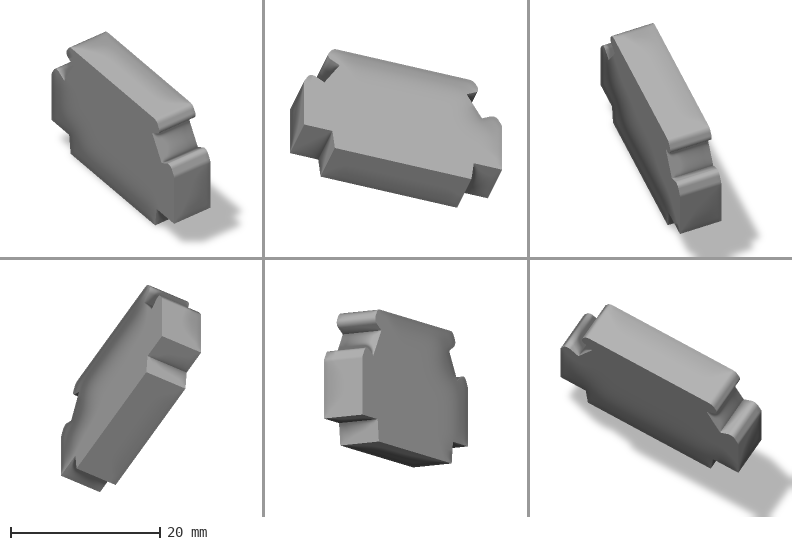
import cadquery as cq
import math

width = 28.0
thickness = 6.0
height = 18.0

foot_height = 3.0
foot_bottom_width = 19.32
foot_top_width = 20.0

flank_angle = math.radians(60)
notch_depth = 2.2
notch_length = 4.3
notch_corner_x = 9.0
notch_corner_z = 15.23

blunt_radius = 1.0
lip_radius = 0.78

along = (math.cos(flank_angle), -math.sin(flank_angle))
outward = (math.sin(flank_angle), math.cos(flank_angle))


def offset(point, direction, distance):
    return (point[0] + direction[0] * distance, point[1] + direction[1] * distance)


inner_upper = (notch_corner_x, notch_corner_z)
inner_lower = offset(inner_upper, along, notch_length)
outer_upper = offset(inner_upper, outward, notch_depth)
outer_lower = offset(inner_lower, outward, notch_depth)

flank_top = (outer_upper[0] - (height - outer_upper[1]) / math.tan(flank_angle), height)
flank_side = (width / 2, outer_lower[1] - (width / 2 - outer_lower[0]) * math.tan(flank_angle))

right_half = [
    (foot_bottom_width / 2, 0),
    (foot_top_width / 2, foot_height),
    (width / 2, foot_height),
    flank_side,
    outer_lower,
    inner_lower,
    inner_upper,
    outer_upper,
    flank_top,
]
left_half = [(-x, z) for x, z in reversed(right_half)]

body = (
    cq.Workplane("XZ")
    .polyline(right_half + left_half)
    .close()
    .extrude(thickness / 2, both=True)
)


def round_corner_pair(solid, corner, radius):
    """Round the mirrored pair of thickness-wise edges at an outline corner."""
    x, z = corner
    for side in (-1, 1):
        edge = cq.selectors.NearestToPointSelector((side * x, 0, z))
        solid = solid.edges("|Y").edges(edge).fillet(radius)
    return solid


result = body
for blunt_corner in (flank_side, flank_top):
    result = round_corner_pair(result, blunt_corner, blunt_radius)
for lip_corner in (outer_lower, outer_upper):
    result = round_corner_pair(result, lip_corner, lip_radius)